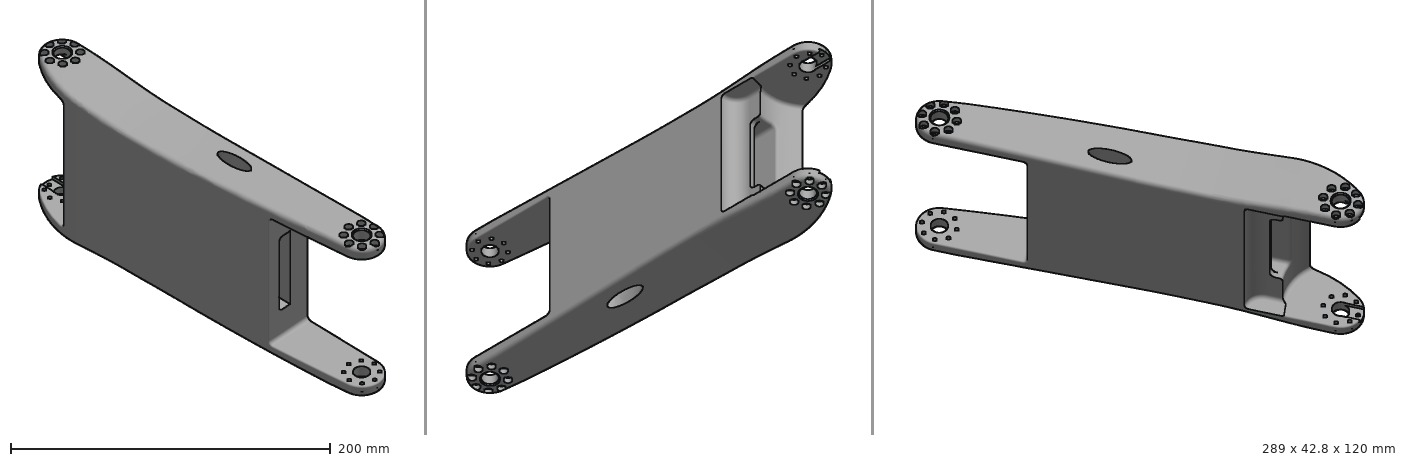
import cadquery as cq
import math

length = 289.0
height = 120.0
depth = 42.8

end_radius = 14.7
pivot_x = length / 2 - end_radius
belly_y = end_radius - depth
belly_x = -91.0

half_height = height / 2
waist_half_height = 55.5
waist_left_x = -49.0
waist_right_x = -27.5
left_flat_end_x = -124.3
right_flat_start_x = pivot_x - end_radius
right_bend_x = -1.0
outer_edge_fillet = 3.2
rim_min_run = 0.03

opening_half_height = 51.2
left_opening_radius = 37.0
left_relief_depth = 12.5
relief_corner_radius = 12.0
left_relief_start_x = -98.3
left_relief_end_x = -71.5
right_opening_x = 69.5
root_fillet = 3.0
rim_fillet = 1.2
corner_band = 3.0

slot_bottom_y = -11.5
slot_top_y = -1.7
slot_height = 59.2
slot_corner_radius = 3.0
mouth_corner_radius = 4.0
slot_mouth_fillet = 2.3

mouth_end_x = -84.5

port_x = 19.7
port_half_length = 14.0
port_half_width = 5.0
port_slant = 6.5

pivot_hole_diameter = 11.0
pivot_chamfer = 1.0
screw_count = 8
screw_circle_radius = 11.3
screw_hole_diameter = 2.5
screw_head_diameter = 5.5
screw_head_depth = 4.3

groove_width = 10.5
groove_depth = 2.5


def belly_arc_tangency(end_x):
    """Belly arc centre and radius, and where it meets the round end, for an arc level at the belly point."""
    offset = end_x - belly_x
    radius = (offset**2 + belly_y**2 - end_radius**2) / (-2 * (belly_y + end_radius))
    center_y = belly_y + radius
    reach = radius / (radius - end_radius)
    tangent = (belly_x + offset * reach, center_y * (1 - reach))
    return (belly_x, center_y), radius, tangent


def belly_arc_midpoint(center, radius, tangent):
    angle_end = math.atan2(tangent[1] - center[1], tangent[0] - center[0])
    angle = (angle_end - math.pi / 2) / 2
    return center[0] + radius * math.cos(angle), center[1] + radius * math.sin(angle)


def plan_outline():
    left_center, left_radius, left_tangent = belly_arc_tangency(-pivot_x)
    right_center, right_radius, right_tangent = belly_arc_tangency(pivot_x)
    return (
        cq.Workplane("XY", origin=(0, 0, -half_height))
        .moveTo(-pivot_x, end_radius)
        .threePointArc((-pivot_x - end_radius, 0), left_tangent)
        .threePointArc(belly_arc_midpoint(left_center, left_radius, left_tangent), (belly_x, belly_y))
        .threePointArc(belly_arc_midpoint(right_center, right_radius, right_tangent), right_tangent)
        .threePointArc((pivot_x + end_radius, 0), (pivot_x, end_radius))
        .close()
        .extrude(height)
    )


def crown_block():
    """Block whose outer faces dip from flat ends to a waist: an S-curve on the left, a straight ramp on the right."""
    bend_run = right_bend_x - waist_right_x
    ramp_slope = (half_height - waist_half_height) / (right_flat_start_x - right_bend_x + bend_run / 2)
    bend_end = (right_bend_x, waist_half_height + ramp_slope * bend_run / 2)
    upper_half = (
        cq.Workplane("XZ", origin=(0, length / 2, 0))
        .moveTo(-length, 0)
        .lineTo(-length, half_height)
        .lineTo(left_flat_end_x, half_height)
        .spline([(waist_left_x, waist_half_height)], tangents=[(1, 0), (1, 0)], includeCurrent=True)
        .lineTo(waist_right_x, waist_half_height)
        .tangentArcPoint(bend_end, relative=False)
        .lineTo(right_flat_start_x, half_height)
        .lineTo(length, half_height)
        .lineTo(length, 0)
        .close()
        .extrude(length)
    )
    return upper_half.union(upper_half.mirror("XY"))


def rounded_body():
    body = plan_outline().intersect(crown_block())
    rim = [
        edge
        for edge in body.edges().vals()
        if abs(edge.startPoint().x - edge.endPoint().x) > rim_min_run
    ]
    return body.newObject(rim).fillet(outer_edge_fillet)


def upright_cylinder(x, y, radius, half_length):
    return cq.Workplane("XY", origin=(x, y, -half_length)).circle(radius).extrude(2 * half_length)


def left_openings():
    """Clearance swept around the left pivot, and a relief with a round corner behind it."""
    swept = upright_cylinder(-pivot_x, 0, left_opening_radius, opening_half_height)
    relief_length = left_relief_end_x - left_relief_start_x
    relief = (
        cq.Workplane("XY")
        .box(relief_length, 2 * left_relief_depth, 2 * opening_half_height)
        .edges("|Z and >X")
        .fillet(relief_corner_radius)
        .translate((left_relief_start_x + relief_length / 2, end_radius, 0))
    )
    return [tool.faces("<Z or >Z").edges().fillet(root_fillet) for tool in (swept, relief)]


def right_opening():
    return (
        cq.Workplane("XY")
        .box(length, length, 2 * opening_half_height)
        .edges("<X and |Y")
        .fillet(root_fillet)
        .translate((right_opening_x + length / 2, 0, 0))
    )


def cable_slot():
    slot_depth = slot_top_y - slot_bottom_y
    slot_y = (slot_top_y + slot_bottom_y) / 2
    through = (
        cq.Workplane("XY")
        .box(length, slot_depth, slot_height)
        .edges("|X and <Y")
        .fillet(slot_corner_radius)
        .translate((0, slot_y, 0))
    )
    mouth = (
        cq.Workplane("XY")
        .box(mouth_end_x - left_relief_start_x, end_radius, slot_height)
        .edges("|Y and >X")
        .fillet(mouth_corner_radius)
        .translate(((mouth_end_x + left_relief_start_x) / 2, slot_y + end_radius / 2, 0))
    )
    return through.union(mouth)


def slanted_port():
    """Oval port that drifts toward the left on its way down to the mid-plane."""
    oval = cq.Wire.assembleEdges(
        [cq.Edge.makeEllipse(port_half_length, port_half_width, pnt=(port_x, 0, waist_half_height + 3))]
    )
    drop = waist_half_height + 3
    return cq.Workplane(cq.Solid.extrudeLinear(oval, [], cq.Vector(-port_slant, 0, -drop)))


def pivot_holes(x):
    bore = upright_cylinder(x, 0, pivot_hole_diameter / 2, half_height)
    for side in (1, -1):
        countersink = cq.Solid.makeCone(
            pivot_hole_diameter / 2 + pivot_chamfer,
            pivot_hole_diameter / 2,
            pivot_chamfer,
            pnt=(x, 0, side * half_height),
            dir=(0, 0, -side),
        )
        bore = bore.union(cq.Workplane(countersink))
    return bore


def screw_holes(x):
    pattern = cq.Workplane("XY", origin=(x, 0, -half_height)).polarArray(screw_circle_radius, 0, 360, screw_count)
    holes = pattern.circle(screw_hole_diameter / 2).extrude(height)
    for side in (1, -1):
        heads = (
            cq.Workplane("XY", origin=(x, 0, side * half_height))
            .polarArray(screw_circle_radius, 0, 360, screw_count)
            .circle(screw_head_diameter / 2)
            .extrude(-side * screw_head_depth)
        )
        holes = holes.union(heads)
    return holes


def cable_grooves():
    groove_height = 2 * (opening_half_height + groove_depth)
    return cq.Workplane("XY").box(2 * end_radius, groove_width, groove_height).translate(
        (-pivot_x - end_radius, 0, 0)
    )


def ease_opening_rims(part):
    """Round each opening's rim: from one upright web edge it runs on smoothly along the arms and round their ends."""
    left_corner = cq.selectors.BoxSelector(
        (-pivot_x, -depth, -corner_band), (left_relief_start_x, belly_y / 2, corner_band)
    )
    right_corner = cq.selectors.BoxSelector(
        (right_opening_x - rim_fillet, -depth, -corner_band),
        (right_opening_x + rim_fillet, belly_y / 2, corner_band),
    )
    return part.edges(left_corner + right_corner).edges("|Z").fillet(rim_fillet)


def round_slot_mouth(part):
    """Round the slot's left mouth, starting from its upright edge."""
    upright_edge = cq.selectors.BoxSelector(
        (-pivot_x, slot_bottom_y - slot_mouth_fillet, -corner_band),
        (mouth_end_x, slot_bottom_y + slot_mouth_fillet, corner_band),
    )
    return part.edges(upright_edge).edges("|Z").fillet(slot_mouth_fillet)


result = rounded_body()
for opening in left_openings():
    result = result.cut(opening)
result = result.cut(right_opening())
result = ease_opening_rims(result)
result = round_slot_mouth(result.cut(cable_slot()))
result = result.cut(cable_grooves())
port = slanted_port()
result = result.cut(port).cut(port.mirror("XY"))
for x in (-pivot_x, pivot_x):
    result = result.cut(pivot_holes(x)).cut(screw_holes(x))